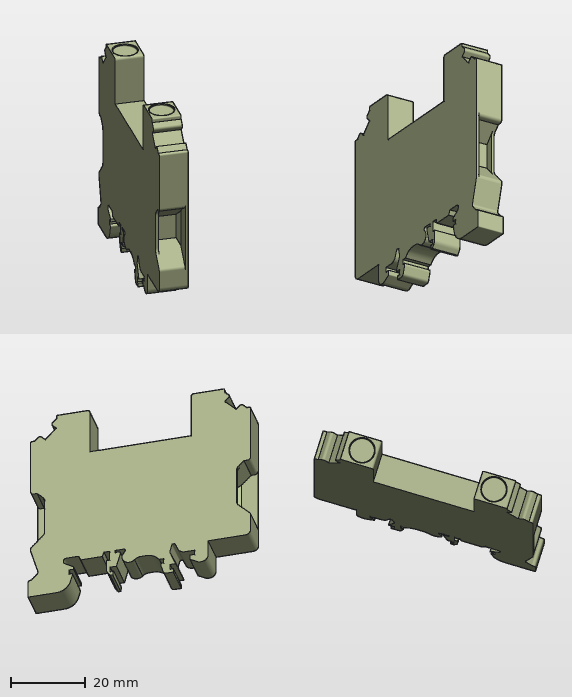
import cadquery as cq
import math


thickness = 8.0
height = 57.6
overall_length = 61.75
half_width = 30.5
hook_x = half_width - overall_length
shoulder_z = 50.4
bridge_z = 44.1
tower_inner_x = 14.0
tower_outer_x = 23.3
tower_inner_radius = 0.75
tower_outer_radius = 0.4
shoulder_corner_radius = 0.5
hook_corner_radius = 0.25

tooth_radius = 0.7
lower_tooth_height = 1.5
shoulder_flat = 1.1
upper_tooth_depth = 1.55
tooth_gap_rise = 3.1

ceiling_z = 10.7
rib_z = 9.4
arch_z = 7.4
latch_z = 5.5
right_floor_z = 9.0

screw_x = 18.4
screw_y = -0.05
screw_rim_diameter = 7.05
screw_diameter = 6.6
screw_depth = 0.75
screw_floor_radius = 0.2

pocket_wall = 0.85
pocket_depth = 6.2
pocket_entry_depth = 1.85
pocket_top_z = 33.2
pocket_bottom_z = 15.75
pocket_entry_radius = 1.0
lip_depth = 3.95
lip_thickness = 0.85
lip_radius = 2.0
wall_slope_width = 0.85
wall_slope_start = 4.5


def rounded_profile(corners):
    """Closed XZ wire through corners (x, z) or (x, z, radius); a radius above 0 rounds that corner."""
    count = len(corners)
    stretches = []
    for i in range(count):
        corner = cq.Vector(corners[i][0], corners[i][1])
        radius = corners[i][2] if len(corners[i]) == 3 else 0
        if radius == 0:
            stretches.append((corner,))
            continue
        to_last = (cq.Vector(*corners[i - 1][:2]) - corner).normalized()
        to_next = (cq.Vector(*corners[(i + 1) % count][:2]) - corner).normalized()
        half_angle = to_last.getAngle(to_next) / 2
        tangent_length = radius / math.tan(half_angle)
        arc_offset = radius / math.sin(half_angle) - radius
        middle = corner + (to_last + to_next).normalized() * arc_offset
        stretches.append((corner + to_last * tangent_length, middle, corner + to_next * tangent_length))

    profile = cq.Workplane("XZ").moveTo(*stretches[0][-1].toTuple()[:2])
    for stretch in stretches[1:] + stretches[:1]:
        profile = profile.lineTo(*stretch[0].toTuple()[:2])
        if len(stretch) == 3:
            profile = profile.threePointArc(stretch[1].toTuple()[:2], stretch[2].toTuple()[:2])
    return profile.close()


def shoulder_corners():
    """Right tower and toothed shoulder, from the bridge out to the side face."""
    lower_tooth_outer_x = half_width - shoulder_flat
    lower_tooth_tip_x = lower_tooth_outer_x - lower_tooth_height
    notch_x = lower_tooth_tip_x - lower_tooth_height
    gap_x = notch_x - tooth_gap_rise
    gap_z = shoulder_z + tooth_gap_rise
    return [
        (tower_inner_x, bridge_z),
        (tower_inner_x, height, tower_inner_radius),
        (tower_outer_x, height, tower_outer_radius),
        (tower_outer_x, gap_z + 2 * upper_tooth_depth),
        (gap_x + upper_tooth_depth, gap_z + upper_tooth_depth, tooth_radius),
        (gap_x, gap_z),
        (notch_x, shoulder_z),
        (lower_tooth_tip_x, shoulder_z + lower_tooth_height, tooth_radius),
        (lower_tooth_outer_x, shoulder_z),
        (half_width, shoulder_z, shoulder_corner_radius),
    ]


rail_hook = [
    (-half_width, 14.9),
    (-28.35, 7.35, 0.9),
    (-30.3, 5.4, 0.25),
    (hook_x, 5.4, 0.8),
    (hook_x, 0, hook_corner_radius),
    (-20.25, 0, 4.0),
    (-18.7, 5.45, 0.4),
    (-19.9, 5.45),
    (-19.9, 6.7),
    (-18.6, 6.7),
    (-18.6, 7.55),
    (-23.8, ceiling_z, 0.9),
]
rib = [
    (-17.15, ceiling_z),
    (-16.55, rib_z),
    (-10.6, rib_z),
    (-10.1, ceiling_z),
]
left_latch = [
    (-8.6, ceiling_z),
    (-8.6, 7.85),
    (-9.45, 7.85),
    (-9.45, 4.3, 1.85),
    (-8.4, 2.85),
    (-7.7, 2.85),
    (-7.5, 4.15),
    (-8.4, 4.15),
    (-8.4, latch_z),
    (-6.65, latch_z),
    (-5.45, 10.0, 0.45),
    (-7.05, 10.0),
    (-7.05, ceiling_z),
]
lobe_and_arch = [
    (-3.8, ceiling_z, 0.5),
    (-5.1, 8.65, 0.5),
    (-5.1, 6.1, 2.0),
    (-2.2, 6.1, 2.0),
    (-0.9, arch_z, 2.5),
    (3.3, arch_z, 4.3),
    (5.2, latch_z),
]
right_latch = [
    (6.4, latch_z),
    (6.4, 4.15),
    (5.6, 4.15),
    (5.6, 3.4),
    (6.5, 0.7, 0.9),
    (9.1, 0.7),
    (9.1, 1.8),
    (8.2, 1.8),
    (8.2, 3.3),
    (9.9, 3.3, 0.2),
    (8.1, 7.3, 1.25),
    (8.7, 9.8, 0.3),
    (9.5, 9.8, 0.3),
    (10.85, 6.65, 2.15),
]
right_foot = [
    (15.0, 6.65),
    (15.0, 5.3),
    (13.65, 5.3),
    (13.65, 3.95, 0.3),
    (16.2, 2.6, 0.6),
    (18.7, 2.6, 1.85),
    (18.7, right_floor_z),
    (half_width, right_floor_z, 1.55),
]


def make_housing():
    right_shoulder = shoulder_corners()
    left_shoulder = [(-x, *rest) for x, *rest in right_shoulder]
    underside = rail_hook + rib + left_latch + lobe_and_arch + right_latch + right_foot
    outline = left_shoulder + underside + right_shoulder[::-1]
    return rounded_profile(outline).extrude(thickness / 2, both=True)


def pocket_cut(depth, corner_radius, front_y):
    """Left pocket from front_y to the rear wall: rounded mouth, 45 degree flanks and a flat floor."""
    outside_x = -half_width - pocket_depth
    floor_x = -half_width + depth
    mouth_top_z = pocket_top_z + 2 * pocket_entry_radius
    mouth_bottom_z = pocket_bottom_z - pocket_entry_radius / 2
    profile = rounded_profile([
        (outside_x, mouth_bottom_z),
        (outside_x, mouth_top_z),
        (-half_width, mouth_top_z),
        (-half_width, pocket_top_z, pocket_entry_radius),
        (-half_width + pocket_entry_depth, pocket_top_z),
        (floor_x, pocket_top_z - (depth - pocket_entry_depth), corner_radius),
        (floor_x, pocket_bottom_z + depth, corner_radius),
        (-half_width, pocket_bottom_z, pocket_entry_radius),
        (-half_width, mouth_bottom_z),
    ])
    rear_y = thickness / 2 - pocket_wall
    return profile.extrude(rear_y - front_y).translate((0, rear_y, 0))


def make_side_pocket():
    """Left pocket cut: deep behind a shallower front lip, with a slope between rear wall and floor."""
    front_y = -thickness / 2
    rear_y = thickness / 2 - pocket_wall
    floor_x = -half_width + pocket_depth
    wall_slope = (
        cq.Workplane("XY")
        .polyline([
            (-half_width + wall_slope_start, rear_y),
            (floor_x, rear_y),
            (floor_x, rear_y - wall_slope_width),
        ])
        .close()
        .extrude(height)
    )
    lip_pocket = pocket_cut(lip_depth, lip_radius, front_y)
    deep_pocket = pocket_cut(pocket_depth, 0, front_y + lip_thickness).cut(wall_slope)
    return deep_pocket.union(lip_pocket)


def make_screw_opening():
    """Blind hole with a chamfered rim and a rounded floor edge in the top of the right tower."""
    rim_chamfer = (screw_rim_diameter - screw_diameter) / 2
    top = cq.Workplane("XY", origin=(screw_x, screw_y, height))
    hole = top.circle(screw_diameter / 2).extrude(-screw_depth).faces("<Z").edges().fillet(screw_floor_radius)
    rim = top.circle(screw_rim_diameter / 2).extrude(-rim_chamfer, taper=45)
    return hole.union(rim)


result = make_housing()
for cut in (make_side_pocket(), make_screw_opening()):
    result = result.cut(cut).cut(cut.mirror("YZ"))